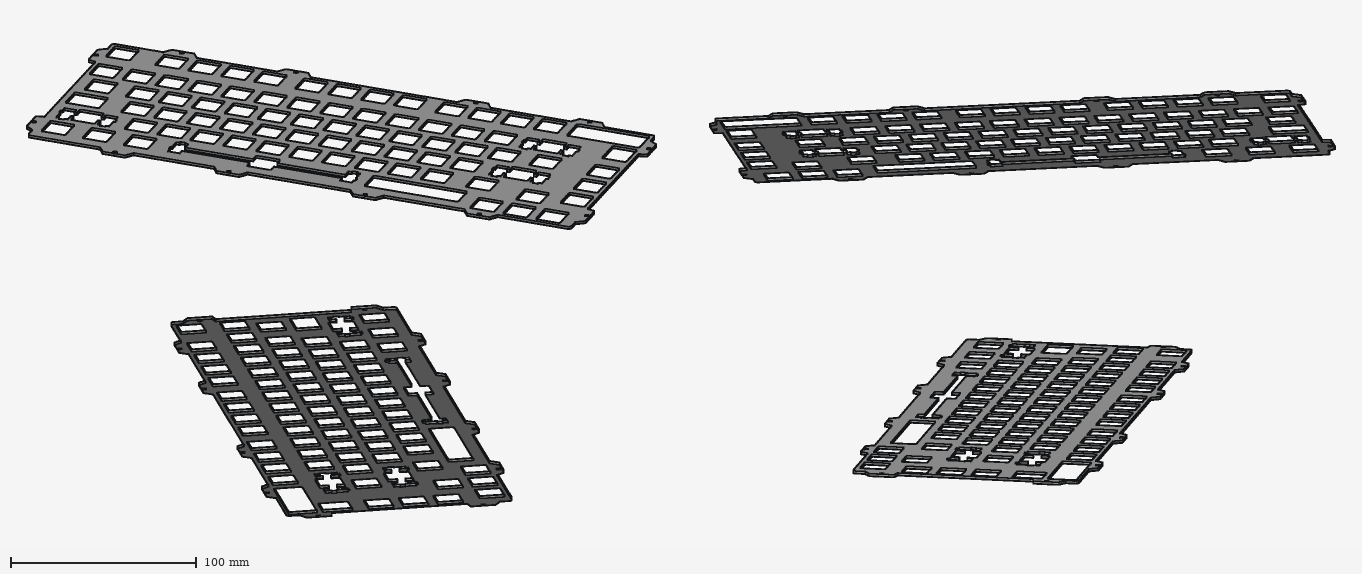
import cadquery as cq
import math

body_length = 314.3
cells_across = 16.5
cells_deep = 6.5
pitch = body_length / cells_across
body_depth = cells_deep * pitch

overall_length = 323.5
thickness = 1.5
corner_radius = 2.0

tab_reach = (overall_length - body_length) / 2
tab_half_tip = 6.5
tab_half_base = 9.7
side_tab_inner_half_tip = 7.0
side_tab_inner_half_base = 8.0
tab_corner_radius = 0.5
tab_hole_diameter = 2.2
tab_hole_setback = 1.68
top_tab_offsets = (52.0, 118.0)
bottom_tab_offsets = (39.5, 105.5)
side_tab_offset = 45.3

cell_margin = 2.52
cutout = pitch - 2 * cell_margin
cutout_radius = 1.0
caps_lock_cutout_length = 19.5
caps_lock_center = -143.5
tall_cutout_depth = 16.5
triple_cutout_length = 54.3
display_length = 42
display_depth = 16.0
window_radius = 1.3

stabilizer_width = 6.8
stabilizer_top = 5.5
stabilizer_bottom = 6.8
foot_width = 3.05
foot_reach = 1.2
ear_reach = 0.85
ear_top = 2.3
ear_bottom = 0.52
wire_slot_width = 4.5
short_bar_offset = 12.0
space_bar_offset = 49.8

function_row = 2.75
number_row = 1.5
upper_row = 0.5
home_row = -0.5
lower_row = -1.5
space_row = -2.5
arrow_row = -2.75
arrow_up_row = -1.75
tall_row = 1.75

last_column = 15.5
cluster_center = 14.25
backspace_column = 13.5
enter_column = 13.375
left_shift_column = 0.625
space_column = 6.375
triple_column = 11

switch_runs = {
    function_row: ((0, 1), (1.5, 4), (5.75, 4), (10, 4)),
    number_row: ((0, 13),),
    upper_row: ((0.25, 1), (1.5, 12), (13.75, 1), (last_column, 1)),
    home_row: ((1.75, 11), (last_column, 1)),
    lower_row: ((2.25, 10), (12.625, 1), (last_column, 1)),
    space_row: ((0.125, 1), (1.375, 1), (2.625, 1)),
    arrow_row: ((cluster_center - 1, 3),),
    arrow_up_row: ((cluster_center, 1),),
}


def key_point(column, row):
    """Centre of a key on the plate."""
    return ((column - last_column / 2) * pitch, row * pitch)


def prism(sketch):
    """Full-thickness solid from a closed sketch."""
    return sketch.extrude(thickness)


def window(center, length, depth, radius):
    """Rounded rectangular cutter."""
    outline = cq.Workplane("XY").center(*center).rect(length, depth)
    return prism(outline).edges("|Z").fillet(radius)


def box_between(left, right, bottom, top):
    """Rectangular cutter given by its four sides."""
    middle = ((left + right) / 2, (bottom + top) / 2)
    return prism(cq.Workplane("XY").center(*middle).rect(right - left, top - bottom))


def tab(rim_distance, offset, inner_half_tip, inner_half_base, turn):
    """Tapered tab with a hole, drawn on the +Y rim and then turned about Z.

    Its inner flank, the one nearer the middle of the rim, can have its own slope.
    """
    tip = rim_distance + tab_reach
    root = rim_distance - cell_margin / 2
    outward = math.copysign(1, offset)
    outline = cq.Workplane("XY").polyline([
        (offset - outward * inner_half_base, root),
        (offset - outward * inner_half_base, rim_distance),
        (offset - outward * inner_half_tip, tip),
        (offset + outward * tab_half_tip, tip),
        (offset + outward * tab_half_base, rim_distance),
        (offset + outward * tab_half_base, root),
    ]).close()
    body = prism(outline).edges("|Z and >Y").fillet(tab_corner_radius)
    hole = prism(cq.Workplane("XY").center(offset, tip - tab_hole_setback).circle(tab_hole_diameter / 2))
    return body.cut(hole).rotate((0, 0, 0), (0, 0, 1), turn)


def stabilizer(center, bar_offset, turn=0):
    """Switch cutout flanked by two stabilizer pockets joined by a wire slot."""
    half_slot = wire_slot_width / 2
    cutter = window((0, 0), cutout, cutout, cutout_radius)
    cutter = cutter.union(box_between(-bar_offset, bar_offset, -half_slot, half_slot))
    outer = bar_offset + stabilizer_width / 2
    inner = bar_offset - stabilizer_width / 2
    foot_left = bar_offset - foot_width / 2
    pocket = box_between(inner, outer, -stabilizer_bottom, stabilizer_top)
    foot = box_between(foot_left, foot_left + foot_width, -stabilizer_bottom - foot_reach, 0)
    ear = box_between(bar_offset, outer + ear_reach, -ear_bottom, ear_top)
    side = pocket.union(foot).union(ear)
    cutter = cutter.union(side).union(side.mirror("YZ"))
    return cutter.rotate((0, 0, 0), (0, 0, 1), turn).translate((*center, 0))


result = prism(cq.Workplane("XY").rect(body_length, body_depth))
result = result.edges("|Z").fillet(corner_radius)

half_length = body_length / 2
half_depth = body_depth / 2
for side in (-1, 1):
    for offset in top_tab_offsets:
        result = result.union(tab(half_depth, side * offset, tab_half_tip, tab_half_base, turn=0))
    for offset in bottom_tab_offsets:
        result = result.union(tab(half_depth, side * offset, tab_half_tip, tab_half_base, turn=180))
    for turn in (90, 270):
        offset = side * side_tab_offset
        side_tab = tab(half_length, offset, side_tab_inner_half_tip, side_tab_inner_half_base, turn)
        result = result.union(side_tab)

switch_points = [
    key_point(first_column + step, row)
    for row, runs in switch_runs.items()
    for first_column, count in runs
    for step in range(count)
]
switches = prism(cq.Workplane("XY").pushPoints(switch_points).rect(cutout, cutout))
result = result.cut(switches.edges("|Z").fillet(cutout_radius))

caps_lock_point = (caps_lock_center, home_row * pitch)
result = result.cut(window(caps_lock_point, caps_lock_cutout_length, cutout, cutout_radius))
result = result.cut(window(key_point(last_column, tall_row), cutout, tall_cutout_depth, cutout_radius))
result = result.cut(window(key_point(triple_column, space_row), triple_cutout_length, cutout, window_radius))

last_x, function_y = key_point(last_column, function_row)
display_x = last_x + (cutout - display_length) / 2
result = result.cut(window((display_x, function_y), display_length, display_depth, window_radius))

result = result.cut(stabilizer(key_point(backspace_column, number_row), short_bar_offset))
result = result.cut(stabilizer(key_point(enter_column, home_row), short_bar_offset))
result = result.cut(stabilizer(key_point(left_shift_column, lower_row), short_bar_offset))
result = result.cut(stabilizer(key_point(space_column, space_row), space_bar_offset, turn=180))